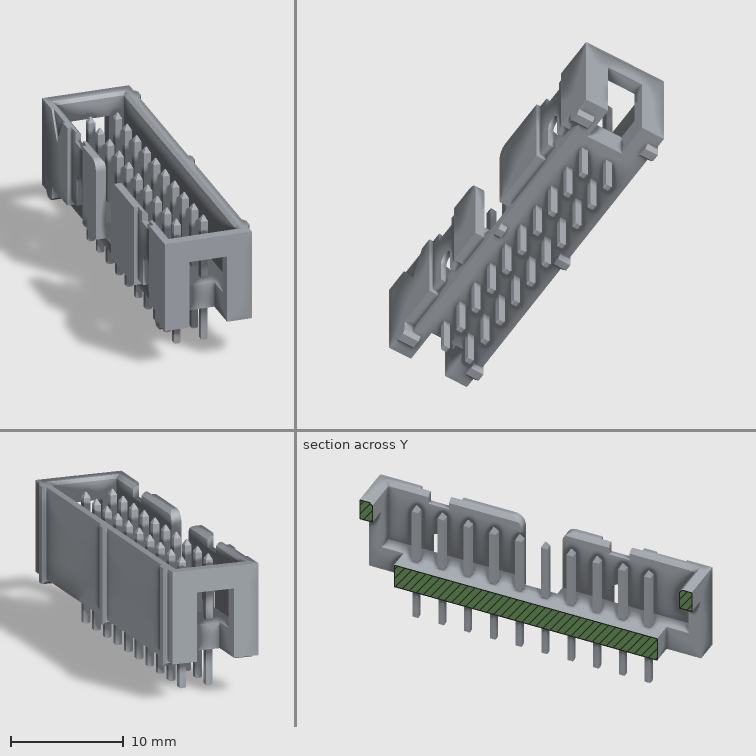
import cadquery as cq
import math


LENGTH = 32.7
WIDTH = 8.2
HEIGHT = 8.5
WALL = 0.95
END_WALL = 1.25
FLOOR_Z = 2.4
RIM_CHAMFER = 0.3
FRONT_Y = -WIDTH / 2
BACK_Y = WIDTH / 2
INNER_FRONT_Y = FRONT_Y + WALL

PITCH = 2.54
COLUMNS = 10
ROWS = 2
PIN_SIZE = 0.64
PIN_TOP_Z = 8.4
PIN_TIP_HEIGHT = 0.5
PIN_TIP_FLAT = 0.12
PIN_BOTTOM_Z = -3.7
TAIL_THICKNESS = 0.5
TAIL_TIP_HEIGHT = 0.1
TAIL_TIP_FLAT = 0.4

WINDOW_WIDTH = 3.55
WINDOW_TOP_Z = 6.4
WINDOW_DEPTH = 3.4

RELIEF_LENGTH = 27.5
RELIEF_TOP_Z = 0.9

KEY_WIDTH = 4.05
KEY_DEPTH = 1.95
KEY_CORNER_RADIUS = 1.0

RECESS_CENTERS = (-3 * PITCH, 4 * PITCH)
RECESS_WIDTH = 4.05
RECESS_DEPTH = 0.4
RECESS_WALL_BOTTOM_Z = 1.4
NOTCH_WIDTH = 2.05
NOTCH_DEPTH = 1.0
ARCH_WIDTH = 1.45
ARCH_TOP_Z = 4.45

MARK_CENTER_X = -12.37
MARK_SIDE = 3.0
MARK_DEPTH = 0.2

OUTER_FOOT_WIDTH = 1.4
CENTER_FOOT_WIDTH = 1.3
FOOT_HEIGHT = 0.5
FOOT_CHAMFER = 0.3
FRONT_FOOT_REACH = 1.65
REAR_FOOT_REACH = 1.0
RIB_HEIGHT = 0.3
RIB_STEP = 0.1
RIB_BEVEL = 0.3
OUTER_FOOT_X = (RELIEF_LENGTH + OUTER_FOOT_WIDTH) / 2
FEET = (
    (-OUTER_FOOT_X, OUTER_FOOT_WIDTH),
    (0, CENTER_FOOT_WIDTH),
    (OUTER_FOOT_X, OUTER_FOOT_WIDTH),
)


def block(x_range, y_range, z_range):
    """Axis-aligned box between the given limits."""
    size = [high - low for low, high in (x_range, y_range, z_range)]
    corner = (x_range[0], y_range[0], z_range[0])
    return cq.Workplane("XY").box(*size, centered=False).translate(corner)


def span(center, width):
    """Limits of a width centred on a position."""
    return (center - width / 2, center + width / 2)


def front_prism(outline, y_range):
    """Extrude an outline drawn in X and Z through a range of Y."""
    return outline.extrude(y_range[0] - y_range[1]).translate((0, y_range[0], 0))


def shroud():
    """Open-topped box with a chamfered inner rim."""
    cavity_length = LENGTH - 2 * END_WALL
    cavity_width = WIDTH - 2 * WALL
    body = block(span(0, LENGTH), span(0, WIDTH), (0, HEIGHT))
    cavity = block(span(0, cavity_length), span(0, cavity_width), (FLOOR_Z, HEIGHT))
    rim = (
        cq.Workplane("XY")
        .workplane(offset=HEIGHT - RIM_CHAMFER)
        .rect(cavity_length, cavity_width)
        .workplane(offset=RIM_CHAMFER)
        .rect(cavity_length + 2 * RIM_CHAMFER, cavity_width + 2 * RIM_CHAMFER)
        .loft(ruled=True)
    )
    return body.cut(cavity).cut(rim)


def end_windows():
    """Openings through both end walls and the ends of the floor."""
    inner_x = LENGTH / 2 - WINDOW_DEPTH
    y_range = span(0, WINDOW_WIDTH)
    z_range = (0, WINDOW_TOP_Z)
    left = block((-LENGTH / 2, -inner_x), y_range, z_range)
    right = block((inner_x, LENGTH / 2), y_range, z_range)
    return left.union(right)


def wall_relief():
    """Gap below the front wall, between the outer feet."""
    return block(span(0, RELIEF_LENGTH), (FRONT_Y, INNER_FRONT_Y), (0, RELIEF_TOP_Z))


def key_slot():
    """Key opening, cut into the floor and flared by rounded corners at the rim."""
    half = KEY_WIDTH / 2
    radius = KEY_CORNER_RADIUS
    shoulder_z = HEIGHT - radius
    mouth = half + radius
    outline = (
        cq.Workplane("XZ")
        .moveTo(-half, RELIEF_TOP_Z)
        .lineTo(half, RELIEF_TOP_Z)
        .lineTo(half, shoulder_z)
        .radiusArc((mouth, HEIGHT), radius)
        .lineTo(-mouth, HEIGHT)
        .radiusArc((-half, shoulder_z), radius)
        .close()
    )
    return front_prism(outline, (FRONT_Y, FRONT_Y + KEY_DEPTH))


def latch_recess(center_x):
    """Shallow recess with a rim notch and an arched slot through the wall."""
    wall = (FRONT_Y, INNER_FRONT_Y)
    x_range = span(center_x, RECESS_WIDTH)
    recess = block(x_range, (FRONT_Y, FRONT_Y + RECESS_DEPTH), (RELIEF_TOP_Z, HEIGHT))
    undercut = block(x_range, wall, (RELIEF_TOP_Z, RECESS_WALL_BOTTOM_Z))
    notch = block(span(center_x, NOTCH_WIDTH), wall, (HEIGHT - NOTCH_DEPTH, HEIGHT))
    arch_left, arch_right = span(center_x, ARCH_WIDTH)
    arch_spring_z = ARCH_TOP_Z - ARCH_WIDTH / 2
    arch_outline = (
        cq.Workplane("XZ")
        .moveTo(arch_left, RELIEF_TOP_Z)
        .lineTo(arch_right, RELIEF_TOP_Z)
        .lineTo(arch_right, arch_spring_z)
        .threePointArc((center_x, ARCH_TOP_Z), (arch_left, arch_spring_z))
        .close()
    )
    return recess.union(undercut).union(notch).union(front_prism(arch_outline, wall))


def pin_one_mark():
    """Engraved triangle on the front face."""
    left, right = span(MARK_CENTER_X, MARK_SIDE)
    apex_z = HEIGHT - MARK_SIDE * math.sin(math.radians(60))
    corners = [(left, HEIGHT), (right, HEIGHT), (MARK_CENTER_X, apex_z)]
    outline = cq.Workplane("XZ").polyline(corners).close()
    return front_prism(outline, (FRONT_Y, FRONT_Y + MARK_DEPTH))


def foot_outline(center_x, width, top_z):
    """Front outline of a foot with bevelled lower corners, up to the given height."""
    left, right = span(center_x, width)
    bevel_z = FOOT_CHAMFER - FOOT_HEIGHT
    points = [
        (left, top_z),
        (left, bevel_z),
        (left + FOOT_CHAMFER, -FOOT_HEIGHT),
        (right - FOOT_CHAMFER, -FOOT_HEIGHT),
        (right, bevel_z),
        (right, top_z),
    ]
    return cq.Workplane("XZ").polyline(points).close()


def front_foot(center_x, width, front_y):
    """Standoff foot below the front edge of the housing."""
    return front_prism(foot_outline(center_x, width, 0), (front_y, FRONT_Y + FRONT_FOOT_REACH))


def rear_foot(center_x, width):
    """Standoff foot below the back wall, carried up the wall as a bevelled rib."""
    foot = front_prism(foot_outline(center_x, width, 0), (BACK_Y - REAR_FOOT_REACH, BACK_Y))
    rib = front_prism(foot_outline(center_x, width, HEIGHT), (BACK_Y, BACK_Y + RIB_HEIGHT))
    left, right = span(center_x, width)
    bevelled_section = [
        (left, BACK_Y),
        (left, BACK_Y + RIB_STEP),
        (left + RIB_BEVEL, BACK_Y + RIB_HEIGHT),
        (right - RIB_BEVEL, BACK_Y + RIB_HEIGHT),
        (right, BACK_Y + RIB_STEP),
        (right, BACK_Y),
    ]
    bevelled_bar = (
        cq.Workplane("XY", origin=(0, 0, -FOOT_HEIGHT))
        .polyline(bevelled_section)
        .close()
        .extrude(FOOT_HEIGHT + HEIGHT)
    )
    return foot.union(rib.intersect(bevelled_bar))


def pin(x, y):
    """Square contact with a tapered tip and a thinner tail below the housing."""
    shaft_height = PIN_TOP_Z - PIN_TIP_HEIGHT
    shaft = (
        cq.Workplane("XY")
        .rect(PIN_SIZE, PIN_SIZE)
        .workplane(offset=shaft_height)
        .rect(PIN_SIZE, PIN_SIZE)
        .workplane(offset=PIN_TIP_HEIGHT)
        .rect(PIN_TIP_FLAT, PIN_TIP_FLAT)
        .loft(ruled=True)
    )
    tail_tip = (
        cq.Workplane("XY")
        .workplane(offset=PIN_BOTTOM_Z)
        .rect(TAIL_THICKNESS, TAIL_TIP_FLAT)
        .workplane(offset=TAIL_TIP_HEIGHT)
        .rect(TAIL_THICKNESS, PIN_SIZE)
        .loft(ruled=True)
    )
    tail_top_z = PIN_BOTTOM_Z + TAIL_TIP_HEIGHT
    tail = block(span(0, TAIL_THICKNESS), span(0, PIN_SIZE), (tail_top_z, 0))
    return shaft.union(tail).union(tail_tip).translate((x, y, 0))


housing = shroud().cut(end_windows()).cut(wall_relief()).cut(key_slot()).cut(pin_one_mark())
for recess_x in RECESS_CENTERS:
    housing = housing.cut(latch_recess(recess_x))

for foot_x, foot_width in FEET:
    under_relief = abs(foot_x) < RELIEF_LENGTH / 2
    foot_front_y = INNER_FRONT_Y if under_relief else FRONT_Y
    housing = housing.union(front_foot(foot_x, foot_width, foot_front_y))
    housing = housing.union(rear_foot(foot_x, foot_width))

for column in range(COLUMNS):
    for row in range(ROWS):
        pin_x = (column - (COLUMNS - 1) / 2) * PITCH
        pin_y = (row - (ROWS - 1) / 2) * PITCH
        housing = housing.union(pin(pin_x, pin_y))

result = housing